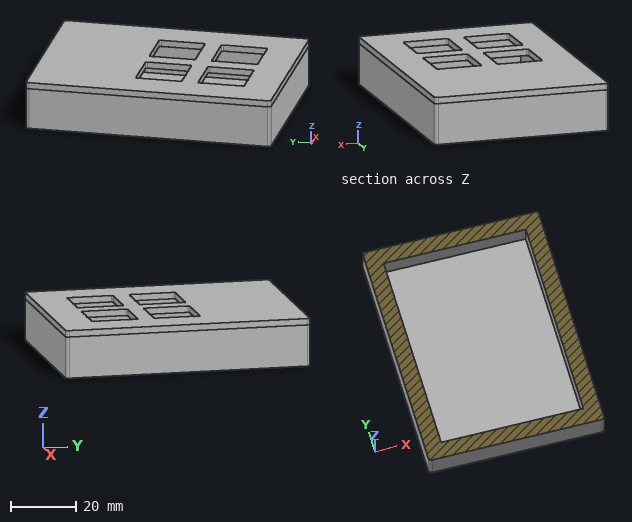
import cadquery as cq

CASE_WIDTH = 56.1
CASE_LENGTH = 77.1
CASE_HEIGHT = 15.0
CORNER_RADIUS = 1.0

LID_THICKNESS = 2.0
WINDOW_SIZE = 14.4
WINDOW_PITCH = 19.6
WINDOW_COUNT = 2
WINDOW_CORNER_RADIUS = 0.55
WINDOW_GRID_Y = -10.7

TRAY_HEIGHT = CASE_HEIGHT - LID_THICKNESS
FLOOR_THICKNESS = LID_THICKNESS
WALL_THICKNESS = 5.5


def rounded_slab(width, length, height, corner_radius):
    """Slab standing on Z = 0 with its four upright edges rounded."""
    slab = cq.Workplane("XY").box(width, length, height, centered=(True, True, False))
    return slab.edges("|Z").fillet(corner_radius)


def make_tray():
    """Open-topped tray with one rectangular cavity."""
    tray = rounded_slab(CASE_WIDTH, CASE_LENGTH, TRAY_HEIGHT, CORNER_RADIUS)
    cavity_width = CASE_WIDTH - 2 * WALL_THICKNESS
    cavity_length = CASE_LENGTH - 2 * WALL_THICKNESS
    cavity_depth = TRAY_HEIGHT - FLOOR_THICKNESS
    cavity = cq.Workplane("XY").box(
        cavity_width, cavity_length, cavity_depth, centered=(True, True, False)
    )
    return tray.cut(cavity.translate((0, 0, FLOOR_THICKNESS)))


def make_lid():
    """Flat lid resting on the tray rim, pierced by the key windows."""
    lid = rounded_slab(CASE_WIDTH, CASE_LENGTH, LID_THICKNESS, CORNER_RADIUS)
    window = rounded_slab(WINDOW_SIZE, WINDOW_SIZE, LID_THICKNESS, WINDOW_CORNER_RADIUS)
    first_offset = -WINDOW_PITCH * (WINDOW_COUNT - 1) / 2
    for column in range(WINDOW_COUNT):
        for row in range(WINDOW_COUNT):
            x = first_offset + column * WINDOW_PITCH
            y = WINDOW_GRID_Y + first_offset + row * WINDOW_PITCH
            lid = lid.cut(window.translate((x, y, 0)))
    return lid.translate((0, 0, TRAY_HEIGHT))


tray = make_tray()
lid = make_lid()

result = cq.Compound.makeCompound([tray.solids().val(), lid.solids().val()])